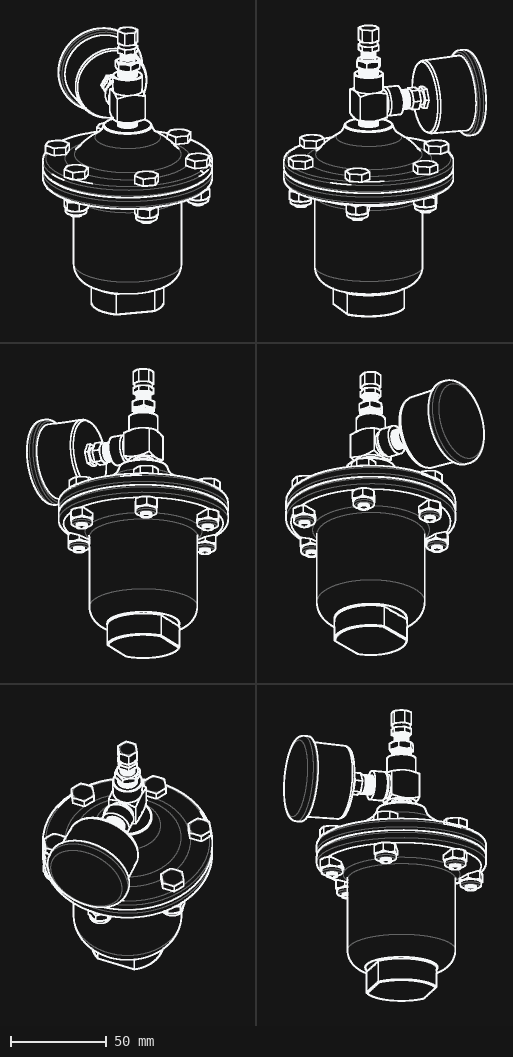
import cadquery as cq
import math


neck_dia = 38.1
neck_flats = 32.0
neck_top = 12.7
neck_top_bevel = 1.0
neck_bottom_chamfer = 0.5
body_dia = 56.64
body_bottom_fillet = 9.6
shoulder_start = 61.0

flange_dia = 88.9
flange_bottom = 68.2
flange_lower_edge = 70.2
flange_split = 74.7
flange_top = 81.0
flange_round = 1.5
flange_lower_round = 2.3
flange_underside_dia = 83.6
shoulder_dia = 61.21
shoulder_top = 63.8

bonnet_top = 99.5
bonnet_top_dia = 25.4
bonnet_top_chamfer = 0.5
bonnet_neck_radius = 10.0
bonnet_dome_radius = 40.0
bonnet_neck_foot_dia = 34.3
bonnet_neck_foot = 92.7
bonnet_dome_foot_dia = 55.8
bonnet_dome_foot = 83.2
bonnet_foot_dia = 65.7

bolt_count = 6
bolt_circle_dia = 76.2
bolt_hex = 11.18
bolt_head_height = 4.2
bolt_dia = 5.6
bolt_pitch = 0.7
bolt_tip = 59.1
nut_bottom = 62.9
nut_collar_bottom = 60.6
nut_collar_round = 0.9

tee_dia = 15.24
tee_bottom = 103.35
tee_block_top = tee_bottom + tee_dia
tee_top = 127.3
tee_edge = 0.3
tee_axis = tee_bottom + tee_dia / 2
branch_neck_dia = 12.7
branch_neck_start = 8.9
branch_taper_start = 10.0
branch_end = 16.7

pipe_dia = 10.29
pipe_pitch = 0.94
pipe_runout = 0.5

locknut_hex = 11.5
locknut_bottom = 131.0
locknut_top = 135.3
valve_dia = 7.62
valve_pitch = 1.1
valve_thread_start = 136.3
cap_hex = 9.35
cap_bottom = 140.2
cap_groove_bottom = 143.1
cap_groove_top = 145.4
cap_top = 152.4
cap_face_dia = 8.3

stem_thread_end = 21.6
stem_hex = 10.29
stem_hex_start = 23.2
stem_hex_end = 27.2
stem_neck_dia = 7.62
gauge_hex_start = 29.7
gauge_back = 31.6
gauge_back_dia = 37.2
gauge_edge_dia = 38.6
gauge_edge = 33.0
gauge_case_front_dia = 39.6
rim_back = 52.6
rim_dia = 45.09
rim_front = 58.05
rim_front_round = 2.4
rim_back_round = 1.0

thread_depth_ratio = 0.65
thread_crest_ratio = 0.15
hex_face_ratio = 0.95
head_bevel_angle = 15.0
nut_bevel_angle = 30.0
tee_bevel_angle = 22.0

corner_on_x = 0
corner_on_y = 90


def cylinder(dia, bottom, top):
    return cq.Workplane("XY").workplane(offset=bottom).circle(dia / 2).extrude(top - bottom)


def tangent_radius(run, rise):
    """Radius of an arc that leaves along the run direction and ends up rise away from it."""
    return (run**2 + rise**2) / (2 * rise)


def hexagon_corner_dia(across_flats):
    return across_flats / math.cos(math.pi / 6)


def hexagon(across_flats, bottom, top, corner_angle):
    """Hexagonal prism about Z with one corner at corner_angle from +X."""
    corner_dia = hexagon_corner_dia(across_flats)
    prism = cq.Workplane("XY").workplane(offset=bottom).polygon(6, corner_dia).extrude(top - bottom)
    return prism.rotate((0, 0, 0), (0, 0, 1), corner_angle)


def corner_cone(across_corners, face_dia, bottom, top, bevel_angle, both_ends=False):
    """Turned envelope that bevels the corners of a prism at its top, or at both ends."""
    radius = across_corners / 2
    drop = (radius - face_dia / 2) * math.tan(math.radians(bevel_angle))
    profile = cq.Workplane("XZ").moveTo(0, bottom)
    if both_ends:
        profile = profile.lineTo(face_dia / 2, bottom).lineTo(radius, bottom + drop)
    else:
        profile = profile.lineTo(radius, bottom)
    profile = profile.lineTo(radius, top - drop).lineTo(face_dia / 2, top).lineTo(0, top)
    return profile.close().revolve(360, (0, 0, 0), (0, 1, 0))


def beveled_head(across_flats, face_dia, bottom, top):
    """Hexagon with corners on the Y side, beveled at its top only."""
    across_corners = hexagon_corner_dia(across_flats)
    cone = corner_cone(across_corners, face_dia, bottom, top, head_bevel_angle)
    return hexagon(across_flats, bottom, top, corner_on_y).intersect(cone)


def beveled_nut(across_flats, bottom, top):
    """Hexagon with corners on the X side, beveled at both ends."""
    across_corners = hexagon_corner_dia(across_flats)
    face_dia = hex_face_ratio * across_flats
    cone = corner_cone(across_corners, face_dia, bottom, top, nut_bevel_angle, both_ends=True)
    return hexagon(across_flats, bottom, top, corner_on_x).intersect(cone)


def thread(dia, pitch, bottom, top):
    """Rod with as many V-shaped ring grooves as fit between bottom and top."""
    crest = dia / 2
    root = crest - thread_depth_ratio * pitch
    crest_width = thread_crest_ratio * pitch
    groove_count = int((top - bottom) / pitch)
    profile = cq.Workplane("XZ").moveTo(0, bottom).lineTo(crest, bottom)
    for i in range(groove_count):
        groove_start = bottom + i * pitch
        groove_end = groove_start + pitch
        profile = profile.lineTo(crest, groove_start + crest_width)
        profile = profile.lineTo(root, (groove_start + crest_width + groove_end) / 2)
        profile = profile.lineTo(crest, groove_end)
    profile = profile.lineTo(crest, top).lineTo(0, top).close()
    return profile.revolve(360, (0, 0, 0), (0, 1, 0))


def make_body():
    cup = cylinder(body_dia, neck_top, flange_split)
    cup = cup.faces("<Z").edges().fillet(body_bottom_fillet)
    neck_height = neck_top - neck_top_bevel
    flats = cq.Workplane("XY").box(neck_flats, neck_dia, neck_height, centered=(True, True, False))
    neck = cylinder(neck_dia, 0, neck_height).intersect(flats)
    neck = neck.faces("<Z").chamfer(neck_bottom_chamfer)
    collar = (
        cq.Workplane("XZ")
        .moveTo(0, neck_height)
        .lineTo(neck_flats / 2, neck_height)
        .lineTo(neck_dia / 2, neck_top)
        .lineTo(0, neck_top)
        .close()
        .revolve(360, (0, 0, 0), (0, 1, 0))
    )
    return cup.union(neck).union(collar)


def make_lower_flange():
    rim = flange_dia / 2
    shoulder_width = (shoulder_dia - body_dia) / 2
    shoulder_radius = tangent_radius(shoulder_top - shoulder_start, shoulder_width)
    return (
        cq.Workplane("XZ")
        .moveTo(0, shoulder_start)
        .lineTo(body_dia / 2, shoulder_start)
        .radiusArc((shoulder_dia / 2, shoulder_top), shoulder_radius)
        .lineTo(flange_underside_dia / 2, flange_bottom)
        .radiusArc((rim, flange_lower_edge), -flange_lower_round)
        .lineTo(rim, flange_split - flange_round)
        .radiusArc((rim - flange_round, flange_split), -flange_round)
        .lineTo(0, flange_split)
        .close()
        .revolve(360, (0, 0, 0), (0, 1, 0))
    )


def make_bonnet():
    top = bonnet_top_dia / 2
    foot_width = (bonnet_foot_dia - bonnet_dome_foot_dia) / 2
    foot_radius = tangent_radius(foot_width, bonnet_dome_foot - flange_top)
    plate = cylinder(flange_dia, flange_split, flange_top).edges("%CIRCLE").fillet(flange_round)
    dome = (
        cq.Workplane("XZ")
        .moveTo(0, flange_split)
        .lineTo(bonnet_foot_dia / 2, flange_split)
        .lineTo(bonnet_foot_dia / 2, flange_top)
        .radiusArc((bonnet_dome_foot_dia / 2, bonnet_dome_foot), foot_radius)
        .radiusArc((bonnet_neck_foot_dia / 2, bonnet_neck_foot), -bonnet_dome_radius)
        .radiusArc((top, bonnet_top - bonnet_top_chamfer), bonnet_neck_radius)
        .lineTo(top - bonnet_top_chamfer, bonnet_top)
        .lineTo(0, bonnet_top)
        .close()
        .revolve(360, (0, 0, 0), (0, 1, 0))
    )
    return plate.union(dome)


def make_bolt():
    """Bolt and collared nut on the Z axis."""
    head = beveled_head(bolt_hex, hex_face_ratio * bolt_hex, flange_top, flange_top + bolt_head_height)
    nut = beveled_nut(bolt_hex, nut_bottom, flange_bottom)
    collar = cylinder(bolt_hex, nut_collar_bottom, nut_bottom).faces("<Z").edges().fillet(nut_collar_round)
    shank = cylinder(bolt_dia, nut_collar_bottom, flange_top)
    tip = thread(bolt_dia, bolt_pitch, bolt_tip, nut_collar_bottom)
    return head.union(nut).union(collar).union(shank).union(tip)


def make_tee():
    across_corners = tee_dia * math.sqrt(2)
    bevel = corner_cone(across_corners, tee_dia, tee_bottom, tee_block_top, tee_bevel_angle, both_ends=True)
    block = (
        cq.Workplane("XY")
        .workplane(offset=tee_bottom)
        .rect(tee_dia, tee_dia)
        .extrude(tee_block_top - tee_bottom)
        .intersect(bevel)
    )
    run = cylinder(tee_dia, tee_axis, tee_top).faces(">Z").chamfer(tee_edge)
    return block.union(run)


def make_branch():
    """Side outlet of the tee, drawn along +Z from the body axis."""
    return (
        cq.Workplane("XZ")
        .lineTo(branch_neck_dia / 2, 0)
        .lineTo(branch_neck_dia / 2, branch_neck_start)
        .lineTo(tee_dia / 2, branch_taper_start)
        .lineTo(tee_dia / 2, branch_end)
        .lineTo(0, branch_end)
        .close()
        .revolve(360, (0, 0, 0), (0, 1, 0))
    )


def make_gauge():
    """Gauge with its threaded stem, drawn along +Z from the body axis."""
    stem = thread(pipe_dia, pipe_pitch, branch_end, stem_thread_end)
    stem = stem.union(cylinder(pipe_dia, stem_thread_end, stem_hex_start))
    stem = stem.union(hexagon(stem_hex, stem_hex_start, stem_hex_end, corner_on_y))
    stem = stem.union(cylinder(stem_neck_dia, stem_hex_end, gauge_hex_start))
    stem = stem.union(hexagon(stem_hex, gauge_hex_start, gauge_back, corner_on_y))
    case = (
        cq.Workplane("XZ")
        .moveTo(0, gauge_back)
        .lineTo(gauge_back_dia / 2, gauge_back)
        .lineTo(gauge_edge_dia / 2, gauge_edge)
        .lineTo(gauge_case_front_dia / 2, rim_back)
        .lineTo(0, rim_back)
        .close()
        .revolve(360, (0, 0, 0), (0, 1, 0))
    )
    rim = cylinder(rim_dia, rim_back, rim_front)
    rim = rim.faces(">Z").edges().fillet(rim_front_round)
    rim = rim.faces("<Z").edges().fillet(rim_back_round)
    return stem.union(case).union(rim)


def make_valve():
    nipple = thread(pipe_dia, pipe_pitch, tee_top, locknut_bottom - pipe_runout)
    nipple = nipple.union(cylinder(pipe_dia, locknut_bottom - pipe_runout, locknut_bottom))
    locknut = beveled_nut(locknut_hex, locknut_bottom, locknut_top)
    stem = cylinder(valve_dia, locknut_top, valve_thread_start)
    stem = stem.union(thread(valve_dia, valve_pitch, valve_thread_start, cap_bottom))
    cap = hexagon(cap_hex, cap_bottom, cap_groove_bottom, corner_on_y)
    cap = cap.union(cylinder(cap_hex, cap_groove_bottom, cap_groove_top))
    cap = cap.union(beveled_head(cap_hex, cap_face_dia, cap_groove_top, cap_top))
    return nipple.union(locknut).union(stem).union(cap)


def turn_to_side(shape):
    """Swing a shape from the Z axis onto the tee's side outlet, pointing to -X."""
    return shape.rotate((0, 0, 0), (0, 1, 0), -90).translate((0, 0, tee_axis))


result = make_body().union(make_lower_flange()).union(make_bonnet())

bolt = make_bolt()
for i in range(bolt_count):
    angle = math.radians(i * 360 / bolt_count)
    x = bolt_circle_dia / 2 * math.cos(angle)
    y = bolt_circle_dia / 2 * math.sin(angle)
    result = result.union(bolt.translate((x, y, 0)))

result = result.union(thread(pipe_dia, pipe_pitch, bonnet_top, tee_bottom - pipe_runout))
result = result.union(cylinder(pipe_dia, tee_bottom - pipe_runout, tee_bottom))
result = result.union(make_tee())
result = result.union(turn_to_side(make_branch()))
result = result.union(turn_to_side(make_gauge()))
result = result.union(make_valve())